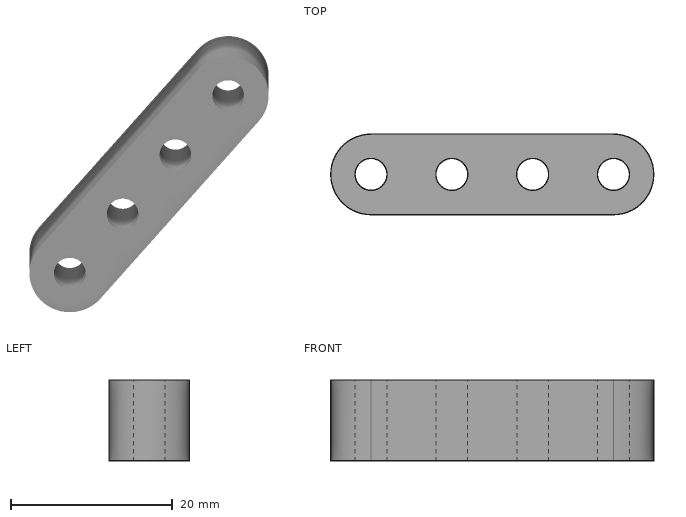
import cadquery as cq

length = 40.0
width = 10.0
height = 10.0
hole_diameter = 3.9
hole_count = 4

hole_pitch = (length - width) / (hole_count - 1)

bar = cq.Workplane("XY").slot2D(length, width).extrude(height / 2, both=True)

result = (
    bar.faces(">Z")
    .workplane()
    .rarray(hole_pitch, width, hole_count, 1)
    .hole(hole_diameter)
)